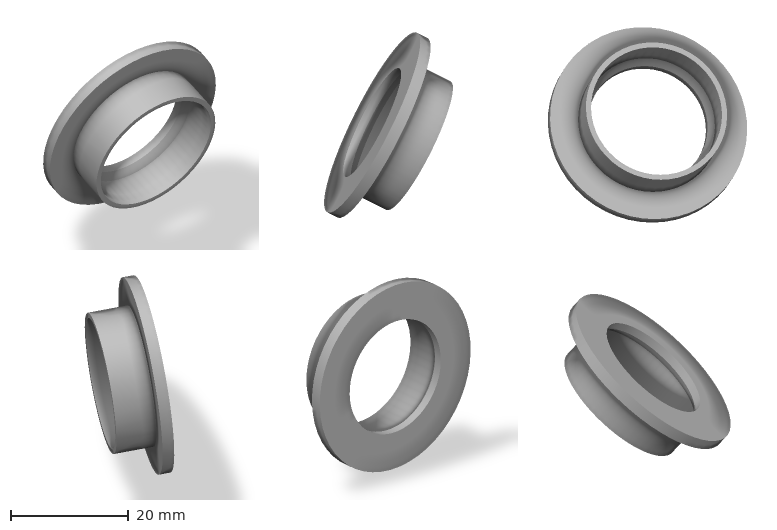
import cadquery as cq

flange_diameter = 34.15
flange_thickness = 2.0

total_length = 9.0
hub_diameter = 24.45

lip_bore_diameter = 20.63
hub_bore_diameter = 22.68
lip_length = 1.5
cone_length = 1.23
cone_end = lip_length + cone_length

half_section = [
    (0, lip_bore_diameter / 2),
    (0, flange_diameter / 2),
    (flange_thickness, flange_diameter / 2),
    (flange_thickness, hub_diameter / 2),
    (total_length, hub_diameter / 2),
    (total_length, hub_bore_diameter / 2),
    (cone_end, hub_bore_diameter / 2),
    (lip_length, lip_bore_diameter / 2),
]

result = (
    cq.Workplane("XZ")
    .polyline(half_section)
    .close()
    .revolve(360, (0, 0, 0), (1, 0, 0))
)